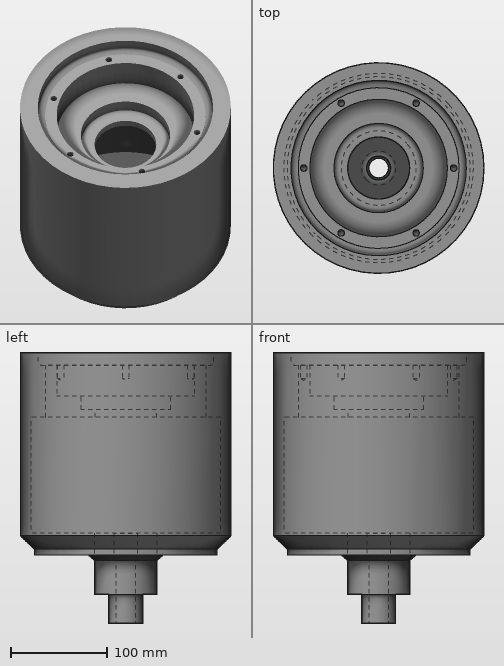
import cadquery as cq
import math

total_height = 281.0
drum_diameter = 219.0
drum_radius = drum_diameter / 2

boss_tip_z = 65.5
drum_bottom_z = 70.8
rim_band_top_z = 77.0
chamfer_top_z = 91.0
band_radius = 95.0
boss_radius = 38.8

recess_radius = 91.0
recess_fillet = 2.0
fillet_end_depth = 13.0
cone_end_depth = 13.5

housing_radius = 83.5
face_depth = 12.6
pocket_radius = 71.5
pocket_depth = 45.0
seat_radius = 46.5
seat_depth = 59.0
opening_radius = 32.0

cavity_radius = 98.4
cavity_top_depth = 67.0
cavity_floor_z = 93.9

screw_hole_count = 6
screw_circle_radius = 77.8
screw_hole_radius = 3.5
screw_hole_depth = 14.0
drill_tip_angle = 118.0

shaft_radius = 32.3
journal_radius = 17.7
journal_length = 30.0
bore_radius = 10.0
counterbore_radius = 12.0
counterbore_depth = 28.0
counterbore_chamfer = 0.5


def cylinder(radius, bottom_z, top_z):
    """Upright cylinder on the part axis."""
    return cq.Workplane("XY").workplane(offset=bottom_z).circle(radius).extrude(top_z - bottom_z)


def screw_hole(angle):
    """Blind drilled hole with a conical bottom."""
    top_z = total_height - face_depth
    floor_z = top_z - screw_hole_depth
    tip_z = floor_z - screw_hole_radius / math.tan(math.radians(drill_tip_angle / 2))
    profile = cq.Workplane("XZ").polyline([
        (0, tip_z),
        (screw_hole_radius, floor_z),
        (screw_hole_radius, top_z),
        (0, top_z),
    ]).close()
    hole = profile.revolve(360, (0, 0), (0, 1))
    return hole.translate((screw_circle_radius, 0, 0)).rotate((0, 0, 0), (0, 0, 1), angle)


def make_drum():
    """Hollow drum with a bored upper end wall and a bored lower end wall."""
    fillet_end_z = total_height - fillet_end_depth
    fillet_start_z = fillet_end_z + recess_fillet
    fillet_centre_x = recess_radius - recess_fillet
    arc_offset = recess_fillet * math.sqrt(0.5)
    cavity_top_z = total_height - cavity_top_depth

    profile = (
        cq.Workplane("XZ")
        .moveTo(shaft_radius, boss_tip_z)
        .lineTo(boss_radius, drum_bottom_z)
        .lineTo(band_radius, drum_bottom_z)
        .lineTo(band_radius, rim_band_top_z)
        .lineTo(drum_radius, chamfer_top_z)
        .lineTo(drum_radius, total_height)
        .lineTo(recess_radius, total_height)
        .lineTo(recess_radius, fillet_start_z)
        .threePointArc(
            (fillet_centre_x + arc_offset, fillet_start_z - arc_offset),
            (fillet_centre_x, fillet_end_z),
        )
        .lineTo(housing_radius, total_height - cone_end_depth)
        .lineTo(housing_radius, cavity_top_z)
        .lineTo(cavity_radius, cavity_top_z)
        .lineTo(cavity_radius, cavity_floor_z)
        .lineTo(shaft_radius, cavity_floor_z)
        .close()
    )
    return profile.revolve(360, (0, 0), (0, 1))


def make_bearing_housing():
    """Ring with a stepped pocket, an opening and a circle of screw holes."""
    face_z = total_height - face_depth
    pocket_z = total_height - pocket_depth
    seat_z = total_height - seat_depth
    cavity_top_z = total_height - cavity_top_depth

    housing = cylinder(housing_radius, cavity_top_z, face_z)
    housing = housing.cut(cylinder(pocket_radius, pocket_z, face_z))
    housing = housing.cut(cylinder(seat_radius, seat_z, pocket_z))
    housing = housing.cut(cylinder(opening_radius, cavity_top_z, seat_z))
    for index in range(screw_hole_count):
        housing = housing.cut(screw_hole(index * 360 / screw_hole_count))
    return housing


def make_shaft():
    """Hollow shaft, flush with the cavity floor, with a thinner lower journal."""
    body = cylinder(shaft_radius, journal_length, cavity_floor_z)
    journal = cylinder(journal_radius, 0, journal_length)
    bore = cylinder(bore_radius, 0, cavity_floor_z)
    counterbore = cylinder(counterbore_radius, cavity_floor_z - counterbore_depth, cavity_floor_z)
    shaft = body.union(journal).cut(bore).cut(counterbore)
    mouth_edge = cq.selectors.RadiusNthSelector(0)
    return shaft.faces(">Z").edges(mouth_edge).chamfer(counterbore_chamfer)


drum = make_drum()
bearing_housing = make_bearing_housing()
shaft = make_shaft()
result = cq.Compound.makeCompound([drum.val(), bearing_housing.val(), shaft.val()])